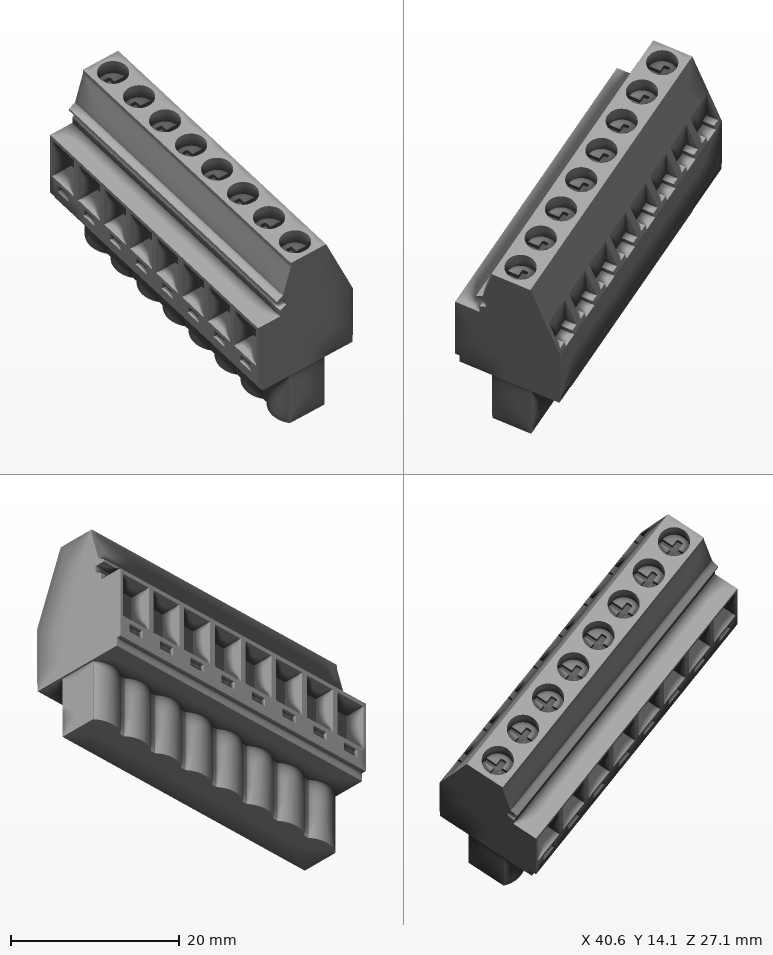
import cadquery as cq

length = 40.65
depth = 14.1
height = 27.1
poles = 8
pitch = 5.1
pole_x = [(i - (poles - 1) / 2) * pitch for i in range(poles)]

base_z = 8.35
base_step_z = 9.45
foot_front_inset = 0.6
foot_back_inset = 0.1
shoulder_z = 19.15
back_shoulder_z = 17.3
crown_front_y = 4.88
crown_back_y = 10.1
crown_edge_z = 26.5
lip_root_y = 3.7
lip_root_z = 22.35
lip_tip_y = 2.8
lip_tip_top_z = 21.82
lip_tip_bottom_z = 21.5
groove_y = 4.2
groove_bottom_z = 20.6
ledge_y = 3.3
ledge_z = 20.1

plug_length = 40.1
plug_front_y = 4.88
plug_back_y = 10.08
bulge_width = 4.45
bulge_height = 0.8

latch_end_inset = pitch
latch_root_back_y = 13.45
latch_root_front_y = 11.38
latch_back_bend_z = 7.5
latch_knee_y = 12.85
latch_knee_z = 5.15
latch_tip_y = 11.4
latch_tip_z = 3.65
latch_barb_y = 11.0
latch_barb_z = 4.55
latch_throat_y = 11.65
latch_throat_bottom_z = 5.32
latch_throat_top_z = 7.45
latch_root_front_z = 8.13

entry_width = 4.3
entry_bottom_z = 12.5
entry_top_z = 18.57
entry_depth = 2.9
test_slot_width = 2.15
test_slot_bottom_z = 10.75
test_slot_top_z = 11.9
test_slot_depth = 0.55

notch_width = 4.05
notch_inset = 0.25
notch_front_y = depth - 1.8
inner_notch_width = 2.07
back_slope = (height - back_shoulder_z) / (depth - crown_back_y)
notch_floor_z = back_shoulder_z + notch_inset * back_slope

screw_diameter = 3.8
screw_y = 7.45
screw_sink = 2.05
screw_length = 4.05
screw_top_z = height - screw_sink
screw_bottom_z = screw_top_z - screw_length
cross_depth = 0.6
narrow_slot_width = 0.55
wide_slot_width = 0.85
wide_slot_length = 2.55


def extrude_along_x(points, bar_length):
    """Extrude a (Y, Z) outline symmetrically about X = 0."""
    return cq.Workplane("YZ").polyline(points).close().extrude(bar_length / 2, both=True)


def box_between(x_centre, x_size, y_range, z_range):
    """Box centred on x_centre that fills the given Y and Z ranges."""
    y_size = y_range[1] - y_range[0]
    z_size = z_range[1] - z_range[0]
    corner = (x_centre - x_size / 2, y_range[0], z_range[0])
    return cq.Workplane("XY").box(x_size, y_size, z_size, centered=False).translate(corner)


def make_upright_cylinder(x, diameter, bottom_z, top_z):
    """Cylinder on the screw axis at x."""
    base = cq.Workplane("XY", origin=(x, screw_y, bottom_z))
    return base.circle(diameter / 2).extrude(top_z - bottom_z)


def make_shell():
    """Main block of the housing, with a snap lip and groove along its front."""
    outline = [
        (foot_front_inset, base_z),
        (foot_front_inset, base_step_z),
        (0, base_step_z),
        (0, shoulder_z),
        (ledge_y, shoulder_z),
        (ledge_y, ledge_z),
        (groove_y, groove_bottom_z),
        (groove_y, lip_tip_bottom_z),
        (lip_tip_y, lip_tip_bottom_z),
        (lip_tip_y, lip_tip_top_z),
        (lip_root_y, lip_root_z),
        (crown_front_y, crown_edge_z),
        (crown_front_y, height),
        (crown_back_y, height),
        (depth, back_shoulder_z),
        (depth, base_step_z),
        (depth - foot_back_inset, base_step_z),
        (depth - foot_back_inset, base_z),
    ]
    return extrude_along_x(outline, length)


def make_plug():
    """Block with a shallow round bulge on its front at every pole."""
    half_length = plug_length / 2
    outline = cq.Workplane("XY").moveTo(-half_length, plug_back_y).lineTo(-half_length, plug_front_y)
    for x in pole_x:
        outline = outline.lineTo(x - bulge_width / 2, plug_front_y)
        outline = outline.threePointArc(
            (x, plug_front_y - bulge_height), (x + bulge_width / 2, plug_front_y)
        )
    outline = outline.lineTo(half_length, plug_front_y).lineTo(half_length, plug_back_y)
    return outline.close().extrude(base_z)


def make_latch():
    """Hooked bar that hangs from the underside."""
    outline = [
        (latch_root_back_y, base_z),
        (latch_root_back_y, latch_back_bend_z),
        (latch_knee_y, latch_knee_z),
        (latch_tip_y, latch_tip_z),
        (latch_barb_y, latch_barb_z),
        (latch_throat_y, latch_throat_bottom_z),
        (latch_throat_y, latch_throat_top_z),
        (latch_root_front_y, latch_root_front_z),
        (latch_root_front_y, base_z),
    ]
    return extrude_along_x(outline, length - 2 * latch_end_inset)


def make_housing():
    """Shell, plug and latch in one solid, cut at every pole."""
    housing = make_shell().union(make_plug()).union(make_latch())
    for x in pole_x:
        housing = housing.cut(
            box_between(x, entry_width, (0, entry_depth), (entry_bottom_z, entry_top_z))
        )
        housing = housing.cut(
            box_between(x, test_slot_width, (0, test_slot_depth), (test_slot_bottom_z, test_slot_top_z))
        )
        housing = housing.cut(
            box_between(x, notch_width, (notch_front_y, depth), (notch_floor_z, height))
        )
        housing = housing.cut(
            box_between(x, inner_notch_width, (notch_front_y, depth), (back_shoulder_z, height))
        )
        housing = housing.cut(make_upright_cylinder(x, screw_diameter, screw_bottom_z, height))
    return housing


def make_screw(x):
    """Headless screw with a cross recess; its narrow slot runs right across along Y."""
    radius = screw_diameter / 2
    recess_z = (screw_top_z - cross_depth, screw_top_z)
    across_y = (screw_y - radius, screw_y + radius)
    narrow_slot = box_between(x, narrow_slot_width, across_y, recess_z)
    wide_y = (screw_y - wide_slot_width / 2, screw_y + wide_slot_width / 2)
    wide_slot = box_between(x, screw_diameter, wide_y, recess_z)
    wide_slot = wide_slot.intersect(make_upright_cylinder(x, wide_slot_length, *recess_z))
    screw = make_upright_cylinder(x, screw_diameter, screw_bottom_z, screw_top_z)
    return screw.cut(narrow_slot).cut(wide_slot)


housing = make_housing()
screws = [make_screw(x).val() for x in pole_x]
result = cq.Compound.makeCompound([housing.val(), *screws])